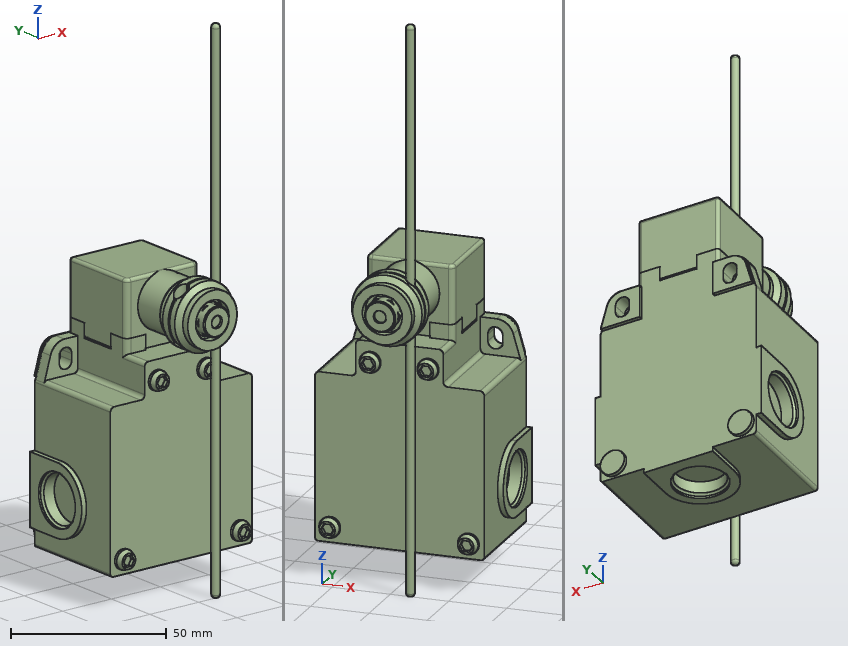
import cadquery as cq


HOUSING_HALF_WIDTH = 29.0
HOUSING_DEPTH = 39.4
HOUSING_BOTTOM = -85.6
SHOULDER_Z = -27.9
HOUSING_TOP = -15.5
HOUSING_ROUND = 1.5
BOTTOM_ROUND = 1.2

CORNER_REACH = 0.2

HEAD_WIDTH = 30.0
HEAD_HALF = HEAD_WIDTH / 2
HEAD_DEPTH = 29.6
HEAD_TOP = 10.1
SEAM_Z = -10.1
HEAD_ROUND = 1.2
FRONT_CORNER_ROUND = 2.0
TONGUE_WIDTH = 13.6
TONGUE_GAP = 0.5
NECK_OVERLAP = 3.0

EAR_THICKNESS = 4.7
EAR_TAPER = 4.0
EAR_ROUND = 6.0
SLOT_X = 20.0
SLOT_Z = -22.0
SLOT_WIDTH = 5.0
SLOT_LENGTH = 7.5
FOOT_HEIGHT = 1.4
TOP_FOOT_INNER_X = 13.6
TOP_FOOT_INSET = 0.4
LOW_FOOT_DIAMETER = 9.0

SIDE_ENTRY_HEIGHT = 2.0
BOTTOM_ENTRY_HEIGHT = 1.5
ENTRY_RADIUS = 12.9
ENTRY_Y = -14.0
ENTRY_Z = -65.5
ENTRY_BORE_RADIUS = 8.8
ENTRY_BORE_DEPTH = 5.8
ENTRY_RIM_DEPTH = 0.8
ENTRY_CHAMFER = 0.8

SCREW_RADIUS = 3.5
SCREW_HEIGHT = 3.0
SCREW_CHAMFER_HEIGHT = 2.0
SCREW_CHAMFER_WIDTH = 0.8
SOCKET_ACROSS_CORNERS = 4.3
SOCKET_DEPTH = 1.5
TOP_SCREW_X = 10.0
TOP_SCREW_Z = -22.5
LOW_SCREW_X = 23.8
LOW_SCREW_Z = -80.3

BOSS_RADIUS = 10.1
BOSS_END = 41.1
HUB_START = 41.3
FLANGE_RADIUS = 12.0
REAR_CONE_START = 43.3
REAR_CONE_END = 45.0
ROD_PLANE = 48.4
CLAMP_GAP = 0.8
FRONT_CONE_START = 51.3
FRONT_CONE_END = 53.0
CAP_FACE = 55.5
SPIGOT_RADIUS = 5.8
SPIGOT_LENGTH = 7.8
STUD_RADIUS = 3.5
RECESS_RADIUS = 6.8
RECESS_DEPTH = 3.0
HEX_ACROSS_CORNERS = 11.7
HEX_HEIGHT = 2.3
TIP_RADIUS = 5.3
TIP_END = 58.0
TIP_CHAMFER = 0.4
TIP_HOLE_RADIUS = 2.1
TIP_HOLE_DEPTH = 1.0

ROD_RADIUS = 1.5
ROD_LENGTH = 195.0
ROD_END_ROUND = 1.4
ROD_X = 7.0
SPARE_HOLE_RADIUS = 2.5


def block(x_half, y_front, y_back, z_low, z_high):
    """A box centred on x = 0; the y values are distances forward from the back."""
    size = (2 * x_half, y_front - y_back, z_high - z_low)
    return cq.Workplane("XY").box(*size, centered=(True, False, False)).translate((0, -y_front, z_low))


def facing_front(distance):
    """A sketch plane facing forward, a given distance in front of the back."""
    return cq.Workplane("XZ", origin=(0, -distance, 0))


def revolve_about_y(profile):
    """Turn a profile of (radius, distance forward) points about the knob axis."""
    points = [(radius, -distance) for radius, distance in profile]
    return cq.Workplane("XY").polyline(points).close().revolve(360, (0, 0, 0), (0, 1, 0))


def round_corners(solid, corners, radius):
    """Round the edges along Y at the given |x|, z corners, on both sides."""
    for x, z in corners:
        for side in (-1, 1):
            near = cq.selectors.BoxSelector(
                (side * x - CORNER_REACH, -HOUSING_DEPTH, z - CORNER_REACH),
                (side * x + CORNER_REACH, 0, z + CORNER_REACH),
            )
            solid = solid.edges("|Y").edges(near).fillet(radius)
    return solid


def make_case():
    outline = [
        (-HOUSING_HALF_WIDTH, HOUSING_BOTTOM),
        (HOUSING_HALF_WIDTH, HOUSING_BOTTOM),
        (HOUSING_HALF_WIDTH, SHOULDER_Z),
        (HEAD_HALF, SHOULDER_Z),
        (HEAD_HALF, HOUSING_TOP),
        (-HEAD_HALF, HOUSING_TOP),
        (-HEAD_HALF, SHOULDER_Z),
        (-HOUSING_HALF_WIDTH, SHOULDER_Z),
    ]
    case = facing_front(0).polyline(outline).close().extrude(HOUSING_DEPTH)
    case = round_corners(case, [(HOUSING_HALF_WIDTH, HOUSING_BOTTOM)], BOTTOM_ROUND)
    upper_corners = [(HOUSING_HALF_WIDTH, SHOULDER_Z), (HEAD_HALF, SHOULDER_Z), (HEAD_HALF, HOUSING_TOP)]
    return round_corners(case, upper_corners, HOUSING_ROUND)


def round_upright_edges(solid):
    """Round the four upright edges that the head and the neck share."""
    solid = solid.edges("|Z and <Y").fillet(FRONT_CORNER_ROUND)
    return solid.edges("|Z and >Y").fillet(HEAD_ROUND)


def make_tongues(bottom):
    """Two crossing bars below the seam."""
    bar_back = (HEAD_DEPTH - TONGUE_WIDTH) / 2
    along_x = block(HEAD_HALF, bar_back + TONGUE_WIDTH, bar_back, bottom, SEAM_Z)
    along_y = block(TONGUE_WIDTH / 2, HEAD_DEPTH, 0, bottom, SEAM_Z)
    return along_x.union(along_y)


def make_neck():
    neck = block(HEAD_HALF, HEAD_DEPTH, 0, HOUSING_TOP - NECK_OVERLAP, SEAM_Z)
    return round_upright_edges(neck).cut(make_tongues(HOUSING_TOP))


def make_ear_plate():
    """A plate across the back with tapered ends and rounded top corners."""
    low_z = SHOULDER_Z - HOUSING_ROUND
    top_half = HOUSING_HALF_WIDTH - EAR_TAPER
    outline = [
        (-HOUSING_HALF_WIDTH, low_z),
        (HOUSING_HALF_WIDTH, low_z),
        (top_half, HOUSING_TOP),
        (-top_half, HOUSING_TOP),
    ]
    plate = facing_front(0).polyline(outline).close().extrude(EAR_THICKNESS)
    return round_corners(plate, [(top_half, HOUSING_TOP)], EAR_ROUND)


def make_ear_slots():
    places = [(-SLOT_X, SLOT_Z), (SLOT_X, SLOT_Z)]
    start = facing_front(-FOOT_HEIGHT).pushPoints(places)
    return start.slot2D(SLOT_LENGTH, SLOT_WIDTH, 90).extrude(FOOT_HEIGHT + EAR_THICKNESS)


def make_feet():
    """Two feet that follow the outline of the ears and two round feet near the bottom."""
    ear_outline = make_ear_plate().faces(">Y").wires().toPending()
    inset_plate = ear_outline.offset2D(-TOP_FOOT_INSET).extrude(-FOOT_HEIGHT)
    middle = block(TOP_FOOT_INNER_X, 0, -FOOT_HEIGHT, HOUSING_BOTTOM, HOUSING_TOP)
    below = block(HOUSING_HALF_WIDTH, 0, -FOOT_HEIGHT, HOUSING_BOTTOM, SHOULDER_Z)
    ear_feet = inset_plate.cut(middle).cut(below)
    low_places = [(-LOW_SCREW_X, LOW_SCREW_Z), (LOW_SCREW_X, LOW_SCREW_Z)]
    low_feet = facing_front(-FOOT_HEIGHT).pushPoints(low_places)
    return ear_feet.union(low_feet.circle(LOW_FOOT_DIAMETER / 2).extrude(FOOT_HEIGHT))


def entry_places():
    """Pad height and outward plane, with local y along Y, for the left, right and bottom walls."""
    left = cq.Plane((-HOUSING_HALF_WIDTH, ENTRY_Y, ENTRY_Z), (0, 0, 1), (-1, 0, 0))
    right = cq.Plane((HOUSING_HALF_WIDTH, ENTRY_Y, ENTRY_Z), (0, 0, -1), (1, 0, 0))
    bottom = cq.Plane((0, ENTRY_Y, HOUSING_BOTTOM), (-1, 0, 0), (0, 0, -1))
    return [(SIDE_ENTRY_HEIGHT, left), (SIDE_ENTRY_HEIGHT, right), (BOTTOM_ENTRY_HEIGHT, bottom)]


def make_entry_pad(height, plane):
    """A pad that is round in front and runs straight to the back of the housing."""
    round_part = cq.Workplane(plane).circle(ENTRY_RADIUS).extrude(height)
    straight = cq.Workplane(plane).center(0, -ENTRY_Y / 2).rect(2 * ENTRY_RADIUS, -ENTRY_Y)
    return round_part.union(straight.extrude(height))


def make_entry_bore(height, plane):
    """A blind bore that opens through a short chamfer into a wider rim."""
    rim_radius = ENTRY_BORE_RADIUS + ENTRY_CHAMFER
    face = cq.Workplane(plane).workplane(offset=height)
    rim = face.circle(rim_radius).extrude(-ENTRY_RIM_DEPTH)
    cone = face.workplane(offset=-ENTRY_RIM_DEPTH).circle(rim_radius).extrude(-ENTRY_CHAMFER, taper=45)
    return rim.union(cone).union(face.circle(ENTRY_BORE_RADIUS).extrude(-ENTRY_BORE_DEPTH))


def make_screw_heads():
    places = []
    for side in (-1, 1):
        places.append((side * TOP_SCREW_X, TOP_SCREW_Z))
        places.append((side * LOW_SCREW_X, LOW_SCREW_Z))
    heads = facing_front(HOUSING_DEPTH).pushPoints(places).circle(SCREW_RADIUS).extrude(SCREW_HEIGHT)
    heads = heads.faces("<Y").edges().chamfer(SCREW_CHAMFER_HEIGHT, SCREW_CHAMFER_WIDTH)
    sockets = facing_front(HOUSING_DEPTH + SCREW_HEIGHT).pushPoints(places)
    return heads.cut(sockets.polygon(6, SOCKET_ACROSS_CORNERS).extrude(-SOCKET_DEPTH))


def make_housing():
    housing = make_case().union(make_neck())
    housing = housing.union(make_ear_plate()).union(make_feet())
    housing = housing.cut(make_ear_slots())
    for height, plane in entry_places():
        housing = housing.union(make_entry_pad(height, plane)).cut(make_entry_bore(height, plane))
    return housing.union(make_screw_heads())


def make_head():
    head = round_upright_edges(block(HEAD_HALF, HEAD_DEPTH, 0, SEAM_Z, HEAD_TOP))
    head = head.faces(">Z").edges().fillet(HEAD_ROUND)
    head = head.union(make_tongues(HOUSING_TOP + TONGUE_GAP))
    boss = facing_front(HEAD_DEPTH / 2).circle(BOSS_RADIUS).extrude(BOSS_END - HEAD_DEPTH / 2)
    spigot_bore = facing_front(HUB_START - SPIGOT_LENGTH).circle(SPIGOT_RADIUS).extrude(SPIGOT_LENGTH)
    return head.union(boss).cut(spigot_bore)


def make_rod_passages():
    """The rod hole on one side of the knob axis and the wider spare hole on the other."""
    plane = cq.Workplane("XY", origin=(0, -ROD_PLANE, -FLANGE_RADIUS))
    rod_hole = plane.center(ROD_X, 0).circle(ROD_RADIUS).extrude(2 * FLANGE_RADIUS)
    return rod_hole.union(plane.center(-ROD_X, 0).circle(SPARE_HOLE_RADIUS).extrude(2 * FLANGE_RADIUS))


def make_clamp_hub():
    """The rear half of the rod clamp, with a spigot that fits the head."""
    face = ROD_PLANE - CLAMP_GAP / 2
    hub = revolve_about_y([
        (0, HUB_START - SPIGOT_LENGTH),
        (SPIGOT_RADIUS, HUB_START - SPIGOT_LENGTH),
        (SPIGOT_RADIUS, HUB_START),
        (BOSS_RADIUS, HUB_START),
        (BOSS_RADIUS, REAR_CONE_START),
        (FLANGE_RADIUS, REAR_CONE_END),
        (FLANGE_RADIUS, face),
        (0, face),
    ])
    return hub.cut(make_rod_passages())


def make_clamp_cap():
    """The front half of the rod clamp, with its stud, hexagon and round tip."""
    hub_face = ROD_PLANE - CLAMP_GAP / 2
    recess_floor = CAP_FACE - RECESS_DEPTH
    cap = revolve_about_y([
        (0, hub_face),
        (STUD_RADIUS, hub_face),
        (STUD_RADIUS, hub_face + CLAMP_GAP),
        (FLANGE_RADIUS, hub_face + CLAMP_GAP),
        (FLANGE_RADIUS, FRONT_CONE_START),
        (BOSS_RADIUS, FRONT_CONE_END),
        (BOSS_RADIUS, CAP_FACE),
        (RECESS_RADIUS, CAP_FACE),
        (RECESS_RADIUS, recess_floor),
        (0, recess_floor),
    ])
    hexagon = facing_front(recess_floor).polygon(6, HEX_ACROSS_CORNERS).extrude(HEX_HEIGHT)
    tip = facing_front(recess_floor).circle(TIP_RADIUS).extrude(TIP_END - recess_floor)
    tip = tip.faces("<Y").edges().chamfer(TIP_CHAMFER)
    tip_hole = facing_front(TIP_END).circle(TIP_HOLE_RADIUS).extrude(-TIP_HOLE_DEPTH)
    return cap.union(hexagon).union(tip).cut(tip_hole).cut(make_rod_passages())


def make_rod():
    start = cq.Workplane("XY", origin=(ROD_X, -ROD_PLANE, -ROD_LENGTH / 2))
    return start.circle(ROD_RADIUS).extrude(ROD_LENGTH).edges().fillet(ROD_END_ROUND)


housing = make_housing()
head = make_head()
clamp_hub = make_clamp_hub()
clamp_cap = make_clamp_cap()
rod = make_rod()

result = cq.Compound.makeCompound(
    [body.solids().val() for body in (housing, head, clamp_hub, clamp_cap, rod)]
)